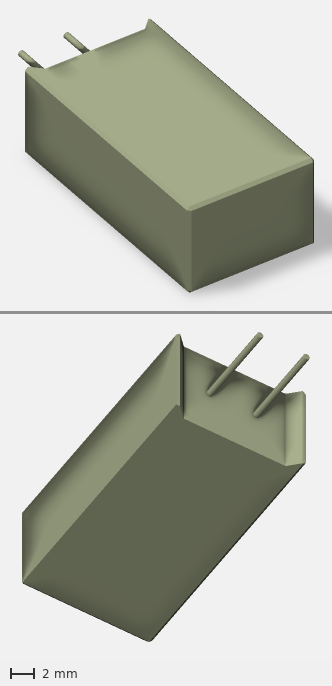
import cadquery as cq

total_length = 31.57
body_width = 13.0
body_height = 9.0

body_length = 24.6
edge_chamfer = 0.3

recess_depth = 1.05
lip_width = 0.38
recess_side_run = 1.05

lead_diameter = 0.6
lead_spacing = 4.65
lead_pair_offset_y = 0.2
lead_offset_z = 0.1

rear_x = total_length / 2
lead_tip_x = -total_length / 2
lip_x = rear_x - body_length
recess_floor_x = lip_x + recess_depth


def make_body():
    """Block chamfered around the rear face and along three of its four long edges."""
    block = cq.Workplane("XY").box(body_length, body_width, body_height)
    block = block.translate((rear_x - body_length / 2, 0, 0))
    top_long_edges = block.faces(">Z").edges("|X")
    bottom_long_edge = block.faces("<Z").edges("|X and <Y")
    rear_edges = block.faces(">X").edges()
    chamfered_edges = top_long_edges.add(bottom_long_edge).add(rear_edges)
    return chamfered_edges.chamfer(edge_chamfer)


def make_recess():
    """Trapezoidal prism through the full height, narrowing from the lips to the floor."""
    mouth_y = body_width / 2 - lip_width
    floor_y = mouth_y - recess_side_run
    outline = [
        (lip_x, -mouth_y),
        (recess_floor_x, -floor_y),
        (recess_floor_x, floor_y),
        (lip_x, mouth_y),
    ]
    return cq.Workplane("XY").polyline(outline).close().extrude(body_height / 2, both=True)


def make_leads():
    """Two parallel round wires from the recess floor to the lead tips."""
    lead_positions = [
        (lead_pair_offset_y + side * lead_spacing / 2, lead_offset_z) for side in (-1, 1)
    ]
    return (
        cq.Workplane("YZ", origin=(lead_tip_x, 0, 0))
        .pushPoints(lead_positions)
        .circle(lead_diameter / 2)
        .extrude(recess_floor_x - lead_tip_x)
    )


result = make_body().cut(make_recess()).union(make_leads())